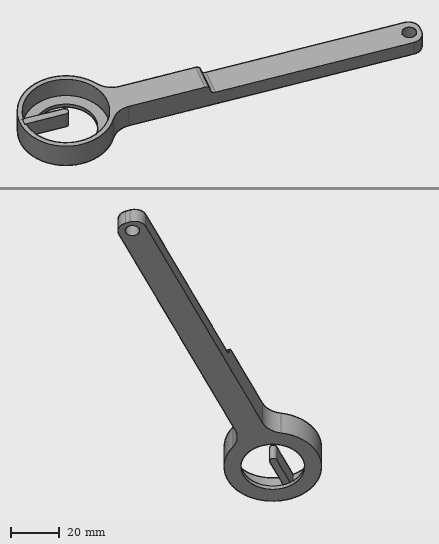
import cadquery as cq
import math

ring_radius = 20.0
ring_height = 11.5
bore_radius = 18.0
opening_radius = 13.0
floor_thickness = 2.0

overall_length = 174.0
handle_width = 12.0
handle_thickness = 7.0
handle_end = overall_length - ring_radius
end_corner_radius = 5.0
neck_radius = 10.0
hang_hole_diameter = 6.0
hang_hole_inset = 5.0

step_start = 58.3
step_round = (ring_height - handle_thickness) / 2

blade_width = 3.1
blade_base = 3.8
blade_tip = 1.0
blade_root = -18.5


def make_blade():
    """Upright blade with a rounded tip near the ring centre."""
    half_width = blade_width / 2
    shoulder = blade_tip - half_width
    return (
        cq.Workplane("XY")
        .workplane(offset=blade_base)
        .moveTo(-half_width, blade_root)
        .lineTo(half_width, blade_root)
        .lineTo(half_width, shoulder)
        .threePointArc((0, blade_tip), (-half_width, shoulder))
        .close()
        .extrude(ring_height - blade_base)
    )


def make_outline():
    """Full-height ring and handle joined by tangent neck arcs."""
    half_width = handle_width / 2
    neck_x = half_width + neck_radius
    centre_distance = ring_radius + neck_radius
    neck_y = math.sqrt(centre_distance**2 - neck_x**2)
    tangent_scale = ring_radius / centre_distance
    tangent_x = neck_x * tangent_scale
    tangent_y = neck_y * tangent_scale

    middle_angle = math.pi + math.atan2(neck_y, neck_x) / 2
    middle_x = neck_x + neck_radius * math.cos(middle_angle)
    middle_y = neck_y + neck_radius * math.sin(middle_angle)
    return (
        cq.Workplane("XY")
        .moveTo(half_width, handle_end)
        .lineTo(half_width, neck_y)
        .threePointArc((middle_x, middle_y), (tangent_x, tangent_y))
        .threePointArc((0, -ring_radius), (-tangent_x, tangent_y))
        .threePointArc((-middle_x, middle_y), (-half_width, neck_y))
        .lineTo(-half_width, handle_end)
        .close()
        .extrude(ring_height)
        .edges("|Z and >Y")
        .fillet(end_corner_radius)
    )


def make_step_cut():
    """Material removed above the thin part of the handle, with an S-shaped step."""
    middle_y = step_start + step_round
    step_end = middle_y + step_round
    arc_inset = step_round * (1 - math.sqrt(0.5))
    return (
        cq.Workplane("YZ")
        .moveTo(step_start, ring_height)
        .threePointArc(
            (middle_y - arc_inset, ring_height - arc_inset),
            (middle_y, ring_height - step_round),
        )
        .threePointArc(
            (middle_y + arc_inset, handle_thickness + arc_inset),
            (step_end, handle_thickness),
        )
        .lineTo(handle_end, handle_thickness)
        .lineTo(handle_end, ring_height)
        .close()
        .extrude(handle_width / 2, both=True)
    )


def make_wrench(blade):
    """Ring and handle in one piece, with an open notch for the blade root."""
    bore = cq.Workplane("XY").workplane(offset=floor_thickness).circle(bore_radius).extrude(ring_height)
    opening = cq.Workplane("XY").circle(opening_radius).extrude(ring_height)
    hang_hole = (
        cq.Workplane("XY")
        .center(0, handle_end - hang_hole_inset)
        .circle(hang_hole_diameter / 2)
        .extrude(ring_height)
    )
    body = make_outline()
    for cutter in (make_step_cut(), bore, opening, hang_hole, blade):
        body = body.cut(cutter)
    return body


blade = make_blade()
wrench = make_wrench(blade)
result = cq.Compound.makeCompound([wrench.val(), blade.val()])